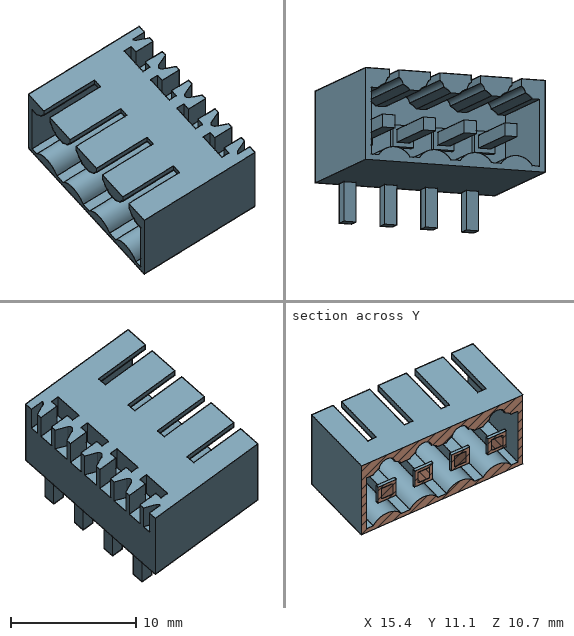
import cadquery as cq
import math


PIN_COUNT = 4
PIN_PITCH = 3.5
PIN_SIZE = 1.05
PIN_AXIS_HEIGHT = 3.5
PIN_FRONT_INSET = 1.25
LEG_BACK_INSET = 0.32
LEG_LENGTH = 3.2
PIN_XS = [(i - (PIN_COUNT - 1) / 2) * PIN_PITCH for i in range(PIN_COUNT)]

HOUSING_WIDTH = 15.4
HOUSING_DEPTH = 11.05
HOUSING_HEIGHT = 7.45

CAVITY_DEPTH = 7.5
SIDE_WALL = 0.5
FLOOR_WALL = 0.46
CEILING_WALL = 1.57
FLOOR_SCALLOP_RADIUS = 1.6
CEILING_SCALLOP_RADIUS = 1.8
SCALLOP_HALF_CHORD = 1.34
KEYWAY_RADIUS = 0.75
KEYWAY_ROOF = 0.5
KEYWAY_AXIS_HEIGHT = HOUSING_HEIGHT - KEYWAY_ROOF - KEYWAY_RADIUS
COLLAR_SIZE = 1.75
COLLAR_LENGTH = 0.5

SLOT_WIDTH = 0.8
SLOT_LENGTH = 5.05

POCKET_NECK_WIDTH = 1.25
POCKET_NECK_LENGTH = 1.71
POCKET_HEAD_WIDTH = 2.5
POCKET_LENGTH = 2.4
POCKET_DEPTH = 2.5

GROOVE_HALF_WIDTH = 0.7
GROOVE_DEPTH = 1.17
GROOVE_TIP_RADIUS = 0.28


def box(width, depth, height, x, y, z):
    """A box centred on x, running back from y and up from z."""
    return cq.Workplane("XY").box(width, depth, height, centered=(True, False, False)).translate((x, y, z))


def rod(radius, length, x, z):
    """A cylinder along Y, running back from the front face."""
    return cq.Workplane("XZ").center(x, z).circle(radius).extrude(-length)


def make_cavity():
    """The plug space: scalloped floor and ceiling, with a keyway and a collar at each pin."""
    width = HOUSING_WIDTH - 2 * SIDE_WALL
    ceiling = HOUSING_HEIGHT - CEILING_WALL
    floor_axis = FLOOR_WALL - math.sqrt(FLOOR_SCALLOP_RADIUS**2 - SCALLOP_HALF_CHORD**2)
    ceiling_axis = ceiling - math.sqrt(CEILING_SCALLOP_RADIUS**2 - SCALLOP_HALF_CHORD**2)
    collar_bottom = PIN_AXIS_HEIGHT - COLLAR_SIZE / 2
    collar_front = CAVITY_DEPTH - COLLAR_LENGTH

    cavity = box(width, CAVITY_DEPTH, ceiling - FLOOR_WALL, 0, 0, FLOOR_WALL)
    for x in PIN_XS:
        cavity = cavity.union(rod(CEILING_SCALLOP_RADIUS, CAVITY_DEPTH, x, ceiling_axis))
        cavity = cavity.union(rod(KEYWAY_RADIUS, CAVITY_DEPTH, x, KEYWAY_AXIS_HEIGHT))
        cavity = cavity.cut(rod(FLOOR_SCALLOP_RADIUS, CAVITY_DEPTH, x, floor_axis))
        cavity = cavity.cut(box(COLLAR_SIZE, COLLAR_LENGTH, COLLAR_SIZE, x, collar_front, collar_bottom))
    return cavity


def make_roof_slot(x):
    """A slot through the roof into the keyway, open at the front."""
    return box(SLOT_WIDTH, SLOT_LENGTH, HOUSING_HEIGHT - KEYWAY_AXIS_HEIGHT, x, 0, KEYWAY_AXIS_HEIGHT)


def make_pocket(x):
    """A T-shaped pocket sunk from the top, its neck open at the back."""
    floor = HOUSING_HEIGHT - POCKET_DEPTH
    head_front = HOUSING_DEPTH - POCKET_LENGTH
    neck = box(POCKET_NECK_WIDTH, POCKET_LENGTH, POCKET_DEPTH, x, head_front, floor)
    head_length = POCKET_LENGTH - POCKET_NECK_LENGTH
    return neck.union(box(POCKET_HEAD_WIDTH, head_length, POCKET_DEPTH, x, head_front, floor))


def make_groove(x):
    """A V groove in the top of the back face, its straight sides tangent to the rounded tip."""
    back = HOUSING_DEPTH
    tip = back - GROOVE_DEPTH
    center = tip + GROOVE_TIP_RADIUS
    rise = back - center
    edge_distance = math.hypot(GROOVE_HALF_WIDTH, rise)
    angle = math.atan2(rise, GROOVE_HALF_WIDTH) - math.acos(GROOVE_TIP_RADIUS / edge_distance)
    tangent_x = GROOVE_TIP_RADIUS * math.cos(angle)
    tangent_y = center + GROOVE_TIP_RADIUS * math.sin(angle)
    return (
        cq.Workplane("XY", origin=(0, 0, HOUSING_HEIGHT))
        .moveTo(x - GROOVE_HALF_WIDTH, back)
        .lineTo(x - tangent_x, tangent_y)
        .threePointArc((x, tip), (x + tangent_x, tangent_y))
        .lineTo(x + GROOVE_HALF_WIDTH, back)
        .close()
        .extrude(-POCKET_DEPTH)
    )


def make_grooves():
    """Full grooves between the pins, and half grooves outside the first and last pin."""
    row_width = PIN_COUNT * PIN_PITCH
    grooves = make_groove(-row_width / 2)
    for i in range(1, PIN_COUNT + 1):
        grooves = grooves.union(make_groove(i * PIN_PITCH - row_width / 2))
    return grooves.intersect(box(row_width, HOUSING_DEPTH, HOUSING_HEIGHT, 0, 0, 0))


def make_pin(x):
    """A square pin: a level blade towards the front and a leg down through the underside."""
    top = PIN_AXIS_HEIGHT + PIN_SIZE / 2
    blade_length = HOUSING_DEPTH - LEG_BACK_INSET - PIN_FRONT_INSET
    leg_front = HOUSING_DEPTH - LEG_BACK_INSET - PIN_SIZE
    blade = box(PIN_SIZE, blade_length, PIN_SIZE, x, PIN_FRONT_INSET, top - PIN_SIZE)
    leg = box(PIN_SIZE, PIN_SIZE, top + LEG_LENGTH, x, leg_front, -LEG_LENGTH)
    return blade.union(leg).clean()


def make_housing(pins):
    """The housing, with a hole that fits each pin."""
    housing = box(HOUSING_WIDTH, HOUSING_DEPTH, HOUSING_HEIGHT, 0, 0, 0)
    housing = housing.cut(make_cavity()).cut(make_grooves())
    for x in PIN_XS:
        housing = housing.cut(make_roof_slot(x)).cut(make_pocket(x))
    for pin in pins:
        housing = housing.cut(pin)
    return housing


pins = [make_pin(x) for x in PIN_XS]
housing = make_housing(pins)

result = cq.Compound.makeCompound([housing.val(), *[pin.val() for pin in pins]])